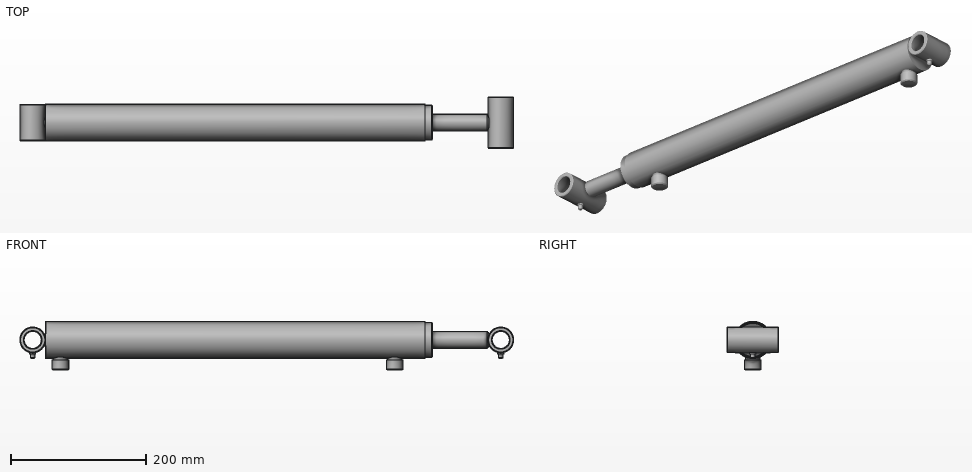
import cadquery as cq


overall_length = 730.4
eye_od = 38.0
eye_bore = 25.4
eye_chamfer = 1.0
bore_chamfer = 1.0
rear_eye_length = 54.0
rod_eye_length = 76.0
eye_spacing = overall_length - eye_od

barrel_od = 55.0
barrel_start = eye_od / 2
barrel_end = 580.0
gland_od = 52.0
gland_end = 591.5
gland_chamfer = 1.5

neck_od = 18.0

port_od = 25.0
port_stem_od = 22.0
port_bottom = -44.5
port_shoulder = -29.5
port_chamfer = 1.5
rear_port_x = 41.0
front_port_x = 535.5

rod_od = 25.4
rod_start = rear_port_x
rod_chamfer = 3.0
rod_tip_inset = 1.6
rod_end = eye_spacing - eye_od / 2 + rod_tip_inset

nipple_od = 7.0
nipple_bottom = -27.5
nipple_chamfer = 1.5
nipple_collar_od = 9.0
nipple_collar_bottom = -21.0
nipple_seat_depth = 3.0
nipple_top = nipple_seat_depth - eye_od / 2


def bar_along_x(diameter, start, end):
    return cq.Workplane("YZ", origin=(start, 0, 0)).circle(diameter / 2).extrude(end - start)


def bar_along_z(diameter, x, bottom, top):
    return cq.Workplane("XY", origin=(x, 0, bottom)).circle(diameter / 2).extrude(top - bottom)


def bar_along_y(diameter, x, length):
    return cq.Workplane("XZ", origin=(x, length / 2, 0)).circle(diameter / 2).extrude(length)


def make_eye_blank(x, length):
    return bar_along_y(eye_od, x, length).edges().chamfer(eye_chamfer)


def make_eye_bore(x, length):
    """Cutter for the pin hole of an eye, flared by a chamfer at each mouth."""
    half = length / 2
    radius = eye_bore / 2
    mouth_radius = radius + bore_chamfer
    profile = [
        (0, -half),
        (mouth_radius, -half),
        (radius, bore_chamfer - half),
        (radius, half - bore_chamfer),
        (mouth_radius, half),
        (0, half),
    ]
    return cq.Workplane("XY").polyline(profile).close().revolve().translate((x, 0, 0))


def make_nipple(x):
    stem = bar_along_z(nipple_od, x, nipple_bottom, nipple_top).faces("<Z").chamfer(nipple_chamfer)
    return stem.union(bar_along_z(nipple_collar_od, x, nipple_collar_bottom, nipple_top))


def make_port(x):
    """Oil port whose stem reaches up into the barrel."""
    collar = bar_along_z(port_od, x, port_bottom, port_shoulder).faces("<Z").chamfer(port_chamfer)
    return collar.union(bar_along_z(port_stem_od, x, port_shoulder, 0))


def make_barrel():
    """Barrel with its gland end, rear eye and ports, bored for the rod."""
    barrel = bar_along_x(barrel_od, barrel_start, barrel_end)
    barrel = barrel.union(bar_along_x(gland_od, barrel_end, gland_end).faces(">X").chamfer(gland_chamfer))
    barrel = barrel.union(bar_along_x(neck_od, 0, barrel_start))
    barrel = barrel.union(make_eye_blank(0, rear_eye_length))
    for port_x in (rear_port_x, front_port_x):
        barrel = barrel.union(make_port(port_x))
    barrel = barrel.cut(make_eye_bore(0, rear_eye_length))
    return barrel.cut(bar_along_x(rod_od, rod_start, gland_end))


def make_rod():
    """Rod with the eye on its tip."""
    rod = bar_along_x(rod_od, rod_start, rod_end).faces(">X").chamfer(rod_chamfer)
    rod = rod.union(make_eye_blank(eye_spacing, rod_eye_length))
    return rod.cut(make_eye_bore(eye_spacing, rod_eye_length))


rear_nipple, rod_nipple = [make_nipple(x) for x in (0, eye_spacing)]

barrel = make_barrel().cut(rear_nipple)
rod = make_rod().cut(rod_nipple)

bodies = [barrel, rod, rear_nipple, rod_nipple]
result = cq.Compound.makeCompound([body.solids().val() for body in bodies])